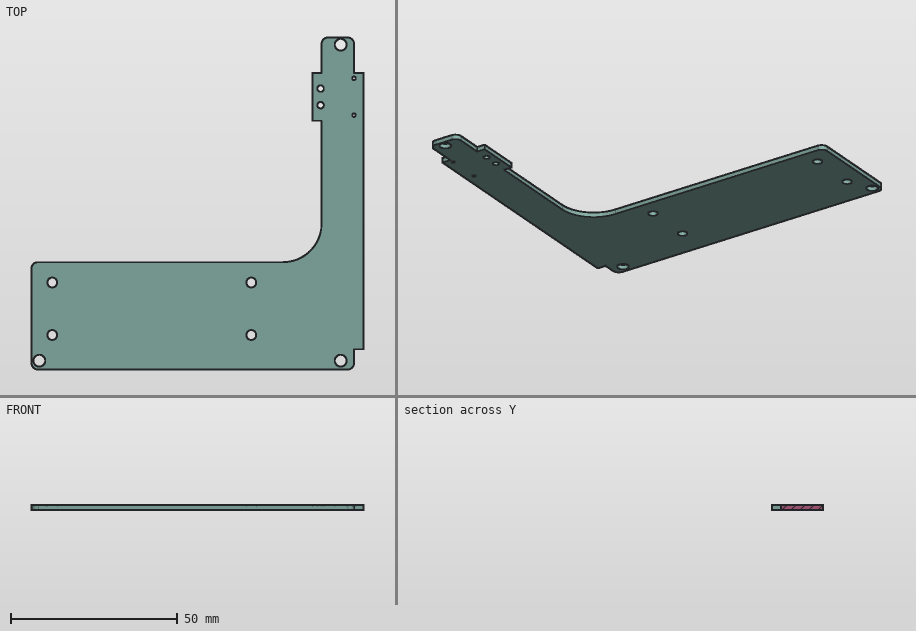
import cadquery as cq

length_x = 100.0
length_y = 100.01
thickness = 1.58

leg_height = 32.4
inner_corner_radius = 11.5
outer_corner_radius = 2.0

right_step_depth = 2.85
bottom_step_y = 6.1
shoulder_y = 89.3
neck_left_x = 87.3
neck_right_x = length_x - right_step_depth

ear_left_x = 84.6
ear_bottom_y = 74.9

corner_hole_diameter = 3.5
corner_hole_left_x = 2.4
corner_hole_right_x = 93.1
corner_hole_bottom_y = 2.7
corner_hole_top_y = 97.8
corner_hole_points = [
    (corner_hole_left_x, corner_hole_bottom_y),
    (corner_hole_right_x, corner_hole_bottom_y),
    (corner_hole_right_x, corner_hole_top_y),
]

mount_hole_diameter = 2.9
mount_first_x = 6.28
mount_first_y = 10.43
mount_spacing_x = 59.9
mount_spacing_y = 15.8
mount_hole_points = [
    (mount_first_x + column * mount_spacing_x, mount_first_y + row * mount_spacing_y)
    for column in range(2)
    for row in range(2)
]

ear_hole_diameter = 1.9
ear_hole_x = 87.05
ear_hole_first_y = 79.6
ear_hole_spacing = 5.0
ear_hole_points = [(ear_hole_x, ear_hole_first_y + i * ear_hole_spacing) for i in range(2)]

pin_hole_diameter = 1.0
pin_hole_x = 97.1
pin_hole_first_y = 76.6
pin_hole_spacing = 11.1
pin_hole_points = [(pin_hole_x, pin_hole_first_y + i * pin_hole_spacing) for i in range(2)]


def corner_edges(plate, points):
    """Select the vertical edges of the plate that stand at the given XY points."""
    edges = plate.edges(cq.selectors.NearestToPointSelector((*points[0], thickness / 2)))
    for point in points[1:]:
        edges = edges.add(
            plate.edges(cq.selectors.NearestToPointSelector((*point, thickness / 2)))
        )
    return edges


def make_plate():
    """Extrude the stepped L outline and round its corners."""
    inner_corner = (neck_left_x, leg_height)
    outer_corners = [
        (0, 0),
        (neck_right_x, 0),
        (neck_right_x, length_y),
        (neck_left_x, length_y),
        (0, leg_height),
    ]
    outline = [
        (0, 0),
        (neck_right_x, 0),
        (neck_right_x, bottom_step_y),
        (length_x, bottom_step_y),
        (length_x, shoulder_y),
        (neck_right_x, shoulder_y),
        (neck_right_x, length_y),
        (neck_left_x, length_y),
        (neck_left_x, shoulder_y),
        (ear_left_x, shoulder_y),
        (ear_left_x, ear_bottom_y),
        (neck_left_x, ear_bottom_y),
        inner_corner,
        (0, leg_height),
    ]
    plate = cq.Workplane("XY").polyline(outline).close().extrude(thickness)
    plate = corner_edges(plate, outer_corners).fillet(outer_corner_radius)
    return corner_edges(plate, [inner_corner]).fillet(inner_corner_radius)


def drill(plate, points, diameter):
    """Cut through holes of one diameter at the given XY points."""
    cutters = cq.Workplane("XY").pushPoints(points).circle(diameter / 2).extrude(thickness)
    return plate.cut(cutters)


result = make_plate()
result = drill(result, corner_hole_points, corner_hole_diameter)
result = drill(result, mount_hole_points, mount_hole_diameter)
result = drill(result, ear_hole_points, ear_hole_diameter)
result = drill(result, pin_hole_points, pin_hole_diameter)